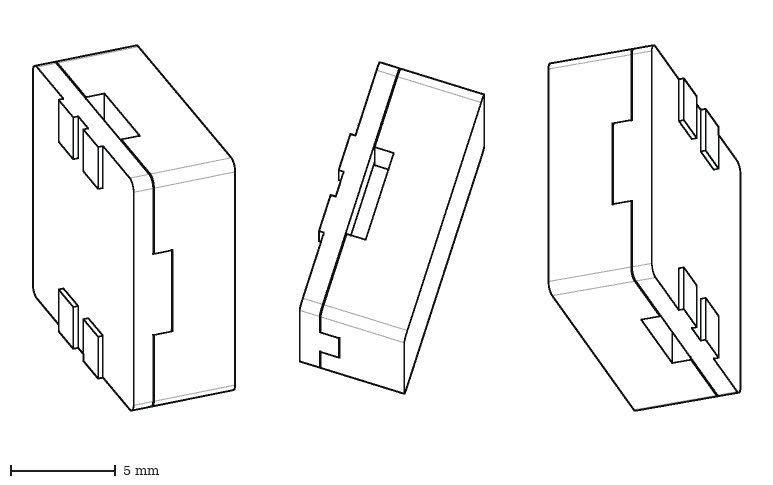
import cadquery as cq

SIDE = 12.7
TOTAL_DEPTH = 5.5
CORNER_RADIUS = 0.51

PAD_THICKNESS = 0.25
PAD_WIDTH = 1.85
PAD_HEIGHT = 2.3
PAD_SPACING = 3.12
PLATE_THICKNESS = 1.0
BAR_HEIGHT = 4.45
BAR_THICKNESS = 0.95

GAP = 0.05
SLOT_WIDTH = BAR_HEIGHT

PLATE_FRONT = PAD_THICKNESS
PLATE_BACK = PLATE_FRONT + PLATE_THICKNESS
BAR_BACK = PLATE_BACK + BAR_THICKNESS
HOUSING_FRONT = PLATE_BACK + GAP
SLOT_BACK = BAR_BACK + GAP
SLOT_DEPTH = SLOT_BACK - HOUSING_FRONT


def block(x_size, z_size, y_start, y_size, x=0.0, z=0.0):
    """Box centred at (x, z) that runs backwards from y_start."""
    return cq.Workplane("XY").box(x_size, y_size, z_size).translate((x, y_start + y_size / 2, z))


def rounded_slab(y_start, y_end):
    """Square slab with rounded corners between two Y positions."""
    return block(SIDE, SIDE, y_start, y_end - y_start).edges("|Y").fillet(CORNER_RADIUS)


def make_base():
    """Plate with a cross bar on its back and four contact pads on its front."""
    base = rounded_slab(PLATE_FRONT, PLATE_BACK)
    base = base.union(block(SIDE, BAR_HEIGHT, PLATE_BACK, BAR_THICKNESS))
    pad_z = (SIDE - PAD_HEIGHT) / 2
    for x_side in (-1, 1):
        for z_side in (-1, 1):
            pad = block(
                PAD_WIDTH, PAD_HEIGHT, 0.0, PAD_THICKNESS,
                x=x_side * PAD_SPACING / 2, z=z_side * pad_z,
            )
            base = base.union(pad)
    return base


def make_housing():
    """Block with two crossing slots in its front; the bar lies in the slot along X."""
    housing = rounded_slab(HOUSING_FRONT, TOTAL_DEPTH)
    bar_slot = block(SIDE, BAR_HEIGHT, HOUSING_FRONT, SLOT_DEPTH)
    open_slot = block(SLOT_WIDTH, SIDE, HOUSING_FRONT, SLOT_DEPTH)
    return housing.cut(bar_slot).cut(open_slot)


base = make_base()
housing = make_housing()
result = cq.Compound.makeCompound([base.val(), housing.val()])